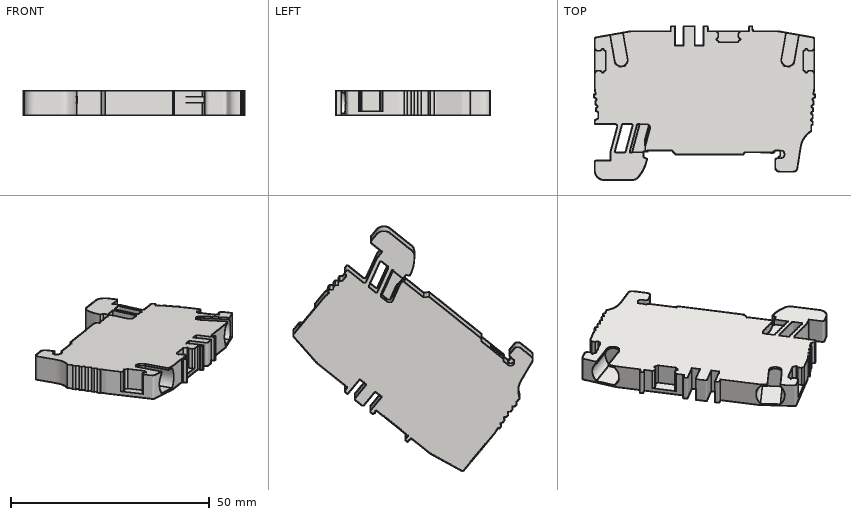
import cadquery as cq
import math

thickness = 6.2
wall_x = 27.6
crest_x = 27.8
shoulder_y = 35.85
top_y = 37.45
rib_top_y = 38.7
shelf_y = 14.05
shoulder_angle = math.radians(10)
shoulder_round = 0.55
shoulder_run = (top_y - shoulder_y) / math.tan(shoulder_angle)

top_ribs = (
    (-8.5, -7.4, False),
    (-5.3, -2.4, True),
    (-0.3, 0.85, False),
    (11.15, 12.05, False),
)
rib_round = 0.35
notch_floor_y = 33.9
rib_step_width = 0.15
bead_span = (37.95, 38.2)
heel_span = (top_y, 37.8)

tooth_crests = (crest_x, 27.45, 27.3, 27.2, 27.2)
left_tooth_count = 3
first_tooth_y = 21.15
tooth_pitch = 1.7
tooth_half = 0.4
valley_depth = 0.6
valley_round = 0.3
relief_top_y = 23.0
relief_x = 27.4
left_recess_x = -26.7
right_recess_x = 26.85

web_angle = math.radians(15)
web_mid_y = 10.55
web_outer_x = -22.7
window_left_x = -21.6
window_right_x = -18.95
gap_left_x = -17.85
gap_right_x = -14.4
gap_corner_x = -14.95
foot_top_y = 7.0
web_round = 0.3

foot_step_x = -23.65
foot_step_y = 5.0
foot_heel_x = -15.3
hook_left_x = 17.7
hook_bottom_y = 2.1
hook_lip_y = 5.55
hook_slot_end_x = 20.1
rail_y = 7.45
belly_y = 6.45
latch_y = 7.0
latch_start_x = 13.15
rail_edge_x = 17.65

layer_bottom_z = 3.2
layer_top_z = 4.7
overlap = 0.55
tongue_left_gap = 0.55
tongue_right_gap = 0.4
tongue_toe_x = -14.3
tongue_toe_y = 7.15

pocket_profile = ((0, 3.05), (0.5, 2.55), (1.45, 2.5), (2.05, 3.05), (2.85, 2.3))
pocket_floor_z = 1.05
side_pocket_y = 30.0
top_pocket_x = 6.0

channel_skin = 0.5
channel_radius = 3.6
channel_offset = 0.85
slot_width = 3.3
slot_mouth_x = 22.1
slot_tip_depth = 8.35


def rounded_prism(vertices, z_bottom=0.0, z_top=thickness):
    """Extrude a closed outline of (x, y) or (x, y, corner radius) vertices."""
    wire = None
    count = len(vertices)
    for i, vertex in enumerate(vertices):
        corner = cq.Vector(vertex[0], vertex[1])
        radius = vertex[2] if len(vertex) == 3 else 0
        before = cq.Vector(*vertices[i - 1][:2]) - corner
        after = cq.Vector(*vertices[(i + 1) % count][:2]) - corner
        half_angle = before.getAngle(after) / 2
        setback = radius / math.tan(half_angle)
        start = corner + before.normalized() * setback
        if wire is None:
            wire = cq.Workplane("XY", origin=(0, 0, z_bottom)).moveTo(start.x, start.y)
        else:
            wire = wire.lineTo(start.x, start.y)
        if radius:
            end = corner + after.normalized() * setback
            bisector = (before.normalized() + after.normalized()).normalized()
            middle = corner + bisector * (radius / math.sin(half_angle) - radius)
            wire = wire.threePointArc((middle.x, middle.y), (end.x, end.y))
    return wire.close().extrude(z_top - z_bottom)


def lean_x(x_at_middle, y):
    """X at height y of a web face that leans by web_angle."""
    return x_at_middle + (y - web_mid_y) * math.tan(web_angle)


def lean_y(x_at_middle, x):
    """Height at which a leaning web face reaches x."""
    return web_mid_y + (x - x_at_middle) / math.tan(web_angle)


def mirror_x(solid):
    return solid.mirror("YZ")


def tooth_bottom_y(index):
    return first_tooth_y - index * tooth_pitch - tooth_half


def grip_vertices(count):
    """Right-hand grip teeth from the top down, with a rounded valley between neighbours."""
    vertices = [(wall_x, relief_top_y), (relief_x, first_tooth_y + tooth_half)]
    for i in range(count):
        y = first_tooth_y - i * tooth_pitch
        vertices.append((tooth_crests[i], y + tooth_half))
        vertices.append((tooth_crests[i], y - tooth_half))
        if i < count - 1:
            valley_x = (tooth_crests[i] + tooth_crests[i + 1]) / 2 - valley_depth
            vertices.append((valley_x, y - tooth_pitch / 2, valley_round))
    return vertices


def make_body():
    left_grip = [(-v[0], *v[1:]) for v in reversed(grip_vertices(left_tooth_count))]
    left_side = [
        (-wall_x, shelf_y, 0.35),
        (-wall_x, 15.05),
        (left_recess_x, 15.5),
        (left_recess_x, tooth_bottom_y(left_tooth_count - 1), 0.5),
        *left_grip,
    ]
    top = [
        (-wall_x, shoulder_y, shoulder_round),
        (shoulder_run - wall_x, top_y),
        (wall_x - shoulder_run, top_y),
        (wall_x, shoulder_y, shoulder_round),
    ]
    right_side = [
        *grip_vertices(len(tooth_crests)),
        (right_recess_x, tooth_bottom_y(len(tooth_crests) - 1), 0.2),
        (right_recess_x, 12.35),
        (24.55, 10.6, 5.55),
    ]
    hook = [
        (23.2, hook_bottom_y, 1.05),
        (hook_left_x, hook_bottom_y, 1.15),
        (hook_left_x, hook_lip_y, 0.6),
        (hook_slot_end_x, hook_lip_y, 0.9),
        (hook_slot_end_x, rail_y, 0.9),
    ]
    underside = [
        (rail_edge_x, rail_y),
        (17.15, latch_y),
        (10.1, latch_y),
        (9.8, belly_y),
        (-7.3, belly_y),
        (-8.2, rail_y),
        (gap_corner_x, rail_y),
        (gap_corner_x, lean_y(gap_right_x, gap_corner_x)),
    ]
    foot_gap = [
        (lean_x(gap_right_x, shelf_y), shelf_y, 0.9),
        (lean_x(gap_left_x, shelf_y), shelf_y, web_round),
        (lean_x(gap_left_x, foot_top_y), foot_top_y),
    ]
    foot = [
        (foot_heel_x, foot_top_y),
        (foot_heel_x, 5.8),
        (-14.4, 5.35),
        (-14.95, 2.85, 10.0),
        (-17.2, 0, 2.05),
        (-wall_x, 0, 2.45),
        (-wall_x, foot_step_y, 0.55),
        (foot_step_x, foot_step_y),
        (foot_step_x, lean_y(web_outer_x, foot_step_x), 1.9),
        (lean_x(web_outer_x, shelf_y), shelf_y, 0.5),
    ]
    return rounded_prism(left_side + top + right_side + hook + underside + foot_gap + foot)


def make_top_rib(left, right, round_right):
    right_round = rib_round if round_right else 0
    return rounded_prism(
        [
            (left, notch_floor_y),
            (left, rib_top_y, rib_round),
            (right, rib_top_y, right_round),
            (right, notch_floor_y),
        ]
    )


def make_block(left, right, bottom, top):
    """Plain rectangular prism through the full thickness."""
    return rounded_prism([(left, bottom), (left, top), (right, top), (right, bottom)])


def make_web_window():
    return rounded_prism(
        [
            (lean_x(window_left_x, shelf_y), shelf_y, 0.15),
            (lean_x(window_right_x, shelf_y), shelf_y, web_round),
            (lean_x(window_right_x, foot_top_y), foot_top_y, 0.35),
            (lean_x(window_left_x, foot_top_y), foot_top_y, web_round),
        ]
    )


def make_tongue():
    """Plate in the gap between web and body that joins the foot to the body."""
    left_x = gap_left_x + tongue_left_gap
    right_x = gap_right_x - tongue_right_gap
    return rounded_prism(
        [
            (lean_x(left_x, foot_top_y - overlap), foot_top_y - overlap),
            (lean_x(left_x, shelf_y + overlap), shelf_y + overlap),
            (lean_x(right_x, shelf_y + overlap), shelf_y + overlap),
            (gap_corner_x, 10.1),
            (gap_corner_x, rail_y + overlap),
            (tongue_toe_x, rail_y + overlap),
            (tongue_toe_x, tongue_toe_y),
            (foot_heel_x, tongue_toe_y),
            (foot_heel_x, foot_top_y - overlap),
        ],
        layer_bottom_z,
        layer_top_z,
    )


def make_hook_rib():
    """Rib that fills the inner part of the hook slot, with a chamfered lower edge."""
    inner_x = hook_slot_end_x + overlap
    low_y = hook_lip_y - overlap
    rib_x = 19.0
    chamfer_top_y = 6.15
    return rounded_prism(
        [
            (rib_x - (chamfer_top_y - low_y), low_y),
            (rib_x, chamfer_top_y),
            (rib_x, rail_y + overlap),
            (inner_x, rail_y + overlap),
            (inner_x, low_y),
        ],
        layer_bottom_z,
        layer_top_z,
    )


def make_latch_wedge():
    return rounded_prism(
        [(latch_start_x, latch_y), (17.6, 6.8, 0.55), (rail_edge_x, rail_y), (latch_start_x, rail_y)],
        layer_bottom_z,
        layer_top_z,
    )


def make_pocket():
    """Pocket that opens at y = 0 and runs towards -Y, centred on x = 0."""
    right_half = [(half, -depth) for depth, half in pocket_profile]
    left_half = [(-x, y) for x, y in reversed(right_half)]
    return rounded_prism(right_half + left_half, pocket_floor_z, thickness)


def make_channel():
    """Left tool channel, built upright with its mouth at y = 0, then tilted and placed."""
    overrun = 2.2
    bore_length = slot_tip_depth + overrun
    middle = cq.Workplane("XY", origin=(0, 0, thickness / 2))
    bore = (
        cq.Workplane("XZ", origin=(channel_offset, overrun, thickness / 2))
        .circle(channel_radius)
        .extrude(bore_length)
    )
    clear_height = thickness - 2 * channel_skin
    bore = bore.intersect(middle.box(4 * channel_radius, 2 * bore_length, clear_height))
    half = slot_width / 2
    slot = (
        middle.moveTo(-half, overrun)
        .lineTo(-half, half - slot_tip_depth)
        .threePointArc((0, -slot_tip_depth), (half, half - slot_tip_depth))
        .lineTo(half, overrun)
        .close()
        .extrude(thickness / 2)
    )
    mouth_y = shoulder_y + (wall_x - slot_mouth_x) * math.tan(shoulder_angle)
    channel = bore.union(slot).rotate((0, 0, 0), (0, 0, 1), math.degrees(shoulder_angle))
    return channel.translate((-slot_mouth_x, mouth_y, 0))


result = make_body()

for rib_left, rib_right, round_right in top_ribs:
    result = result.union(make_top_rib(rib_left, rib_right, round_right))
for rib, next_rib in zip(top_ribs[:2], top_ribs[1:3]):
    result = result.cut(make_block(rib[1], next_rib[0], notch_floor_y, rib_top_y))
for rib, step_span in zip(top_ribs[2:], (bead_span, heel_span)):
    result = result.union(make_block(rib[0], rib[1] + rib_step_width, *step_span))

result = result.cut(make_web_window())
for insert in (make_tongue(), make_hook_rib(), make_latch_wedge()):
    result = result.union(insert)

left_pocket = make_pocket().rotate((0, 0, 0), (0, 0, 1), 90).translate((-wall_x, side_pocket_y, 0))
left_channel = make_channel()
for cutter in (left_pocket, left_channel):
    result = result.cut(cutter).cut(mirror_x(cutter))
result = result.cut(make_pocket().translate((top_pocket_x, top_y, 0)))